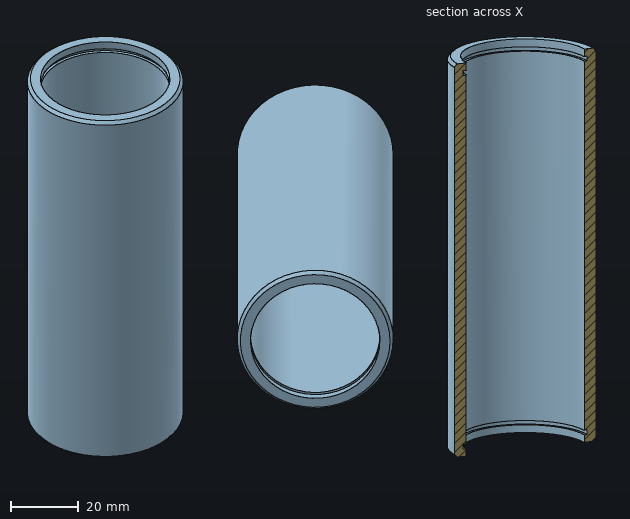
import cadquery as cq

length = 120.0
outer_diameter = 46.0
bore_diameter = 38.0
end_chamfer = 1.0

groove_diameter = 40.0
groove_width = 1.3
groove_inset = 2.4


def cylinder(diameter, height, base):
    """Upright cylinder on the Z axis, starting at the given height."""
    return cq.Workplane("XY").workplane(offset=base).circle(diameter / 2).extrude(height)


body = cylinder(outer_diameter, length, 0).faces("<Z or >Z").edges().chamfer(end_chamfer)
tube = body.cut(cylinder(bore_diameter, length, 0))

for groove_base in (groove_inset, length - groove_inset - groove_width):
    tube = tube.cut(cylinder(groove_diameter, groove_width, groove_base))

result = tube